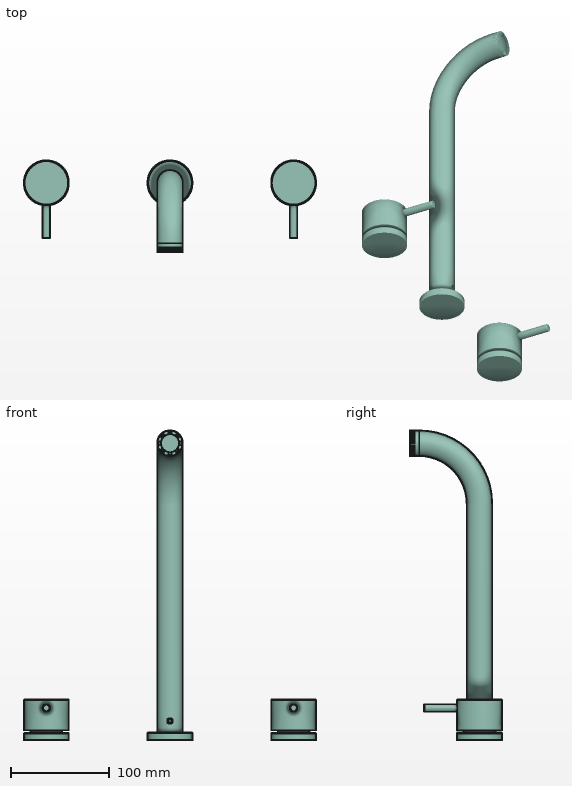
import cadquery as cq
import math

overall_width = 296.0
overall_height = 313.5
base_diameter = 45.8
valve_offset = (overall_width - base_diameter) / 2

spout_base_height = 8.0
valve_base_height = 7.5
base_edge_chamfer = 1.0

neck_diameter = 32.5
handle_gap = 2.5
neck_chamfer = 0.5

handle_top = 41.5
handle_edge_chamfer = 1.0
lever_diameter = 7.8
lever_height = 32.5
lever_reach = 56.0
lever_depth = 4.7
lever_tip_chamfer = 0.5

tube_diameter = 26.0
bend_start = 239.5
bend_radius = overall_height - tube_diameter / 2 - bend_start
outlet_axis_height = bend_start + bend_radius

screw_diameter = 6.0
screw_height = 19.5
screw_depth = 4.7
screw_recess = 1.3
screw_socket_width = 3.5
screw_socket_depth = 2.0

outlet_reach = 70.2
aerator_face_diameter = 18.2
aerator_face_recess = 0.5
key_notch_count = 8
key_notch_width = 3.8
key_notch_length = 2.0
key_notch_inner_radius = 9.5
key_notch_outer_radius = 11.3
knurl_count = 24
knurl_start = 65.2
knurl_end = 69.0
knurl_width = 1.5
knurl_depth = 0.47


def forward_cylinder(x, z, diameter, rear, front):
    """Cylinder along Y whose forward end faces -Y; rear and front are distances ahead of the XZ plane."""
    return (
        cq.Workplane("XZ", origin=(x, -rear, z))
        .circle(diameter / 2)
        .extrude(front - rear)
    )


def make_base(x, height):
    return (
        cq.Workplane("XY", origin=(x, 0, 0))
        .circle(base_diameter / 2)
        .extrude(height)
        .faces(">Z")
        .chamfer(base_edge_chamfer)
    )


def make_valve_base(x):
    neck = (
        cq.Workplane("XY", origin=(x, 0, valve_base_height))
        .circle(neck_diameter / 2)
        .extrude(handle_gap)
        .faces(">Z")
        .chamfer(neck_chamfer)
    )
    return make_base(x, valve_base_height).union(neck)


def lever_blank(x):
    """Lever rod without its tip chamfer, which also shapes its socket in the handle."""
    return forward_cylinder(x, lever_height, lever_diameter, base_diameter / 2 - lever_depth, lever_reach)


def make_handle(x):
    handle_bottom = valve_base_height + handle_gap
    body = (
        cq.Workplane("XY", origin=(x, 0, handle_bottom))
        .circle(base_diameter / 2)
        .extrude(handle_top - handle_bottom)
        .faces(">Z")
        .chamfer(handle_edge_chamfer)
    )
    return body.cut(lever_blank(x))


def make_lever(x):
    return lever_blank(x).faces("<Y").chamfer(lever_tip_chamfer)


def make_spout_tube():
    path = (
        cq.Workplane("YZ")
        .moveTo(0, spout_base_height)
        .lineTo(0, bend_start)
        .radiusArc((-bend_radius, outlet_axis_height), -bend_radius)
    )
    tube = (
        cq.Workplane("XY", origin=(0, 0, spout_base_height))
        .circle(tube_diameter / 2)
        .sweep(path)
    )
    screw_hole = forward_cylinder(
        0, screw_height, screw_diameter, tube_diameter / 2 - screw_recess - screw_depth, tube_diameter
    )
    return tube.cut(screw_hole)


def make_set_screw():
    front = tube_diameter / 2 - screw_recess
    socket_corner_diameter = screw_socket_width / math.cos(math.pi / 6)
    screw = forward_cylinder(0, screw_height, screw_diameter, front - screw_depth, front)
    return (
        screw.faces("<Y")
        .workplane()
        .polygon(6, socket_corner_diameter)
        .cutBlind(-screw_socket_depth)
    )


def outlet_ring_of_blocks(count, inner_radius, outer_radius, width, rear, front):
    """Blocks spaced evenly around the outlet axis, reaching from inner_radius to outer_radius."""
    return (
        cq.Workplane("XZ", origin=(0, -rear, outlet_axis_height))
        .polarArray((inner_radius + outer_radius) / 2, 90, 360, count)
        .rect(outer_radius - inner_radius, width)
        .extrude(front - rear)
    )


def make_aerator():
    outer_radius = tube_diameter / 2
    body = forward_cylinder(0, outlet_axis_height, tube_diameter, bend_radius, outlet_reach)
    face_recess = forward_cylinder(
        0, outlet_axis_height, aerator_face_diameter, outlet_reach - aerator_face_recess, outlet_reach
    )
    key_notches = outlet_ring_of_blocks(
        key_notch_count,
        key_notch_inner_radius,
        key_notch_outer_radius,
        key_notch_width,
        outlet_reach - key_notch_length,
        outlet_reach,
    )
    knurl_grooves = outlet_ring_of_blocks(
        knurl_count,
        outer_radius - knurl_depth,
        outer_radius + knurl_depth,
        knurl_width,
        knurl_start,
        knurl_end,
    )
    return body.cut(face_recess).cut(key_notches).cut(knurl_grooves)


bodies = [make_base(0, spout_base_height), make_spout_tube(), make_set_screw(), make_aerator()]
for valve_x in (-valve_offset, valve_offset):
    bodies += [make_valve_base(valve_x), make_handle(valve_x), make_lever(valve_x)]

result = cq.Compound.makeCompound([body.val() for body in bodies])